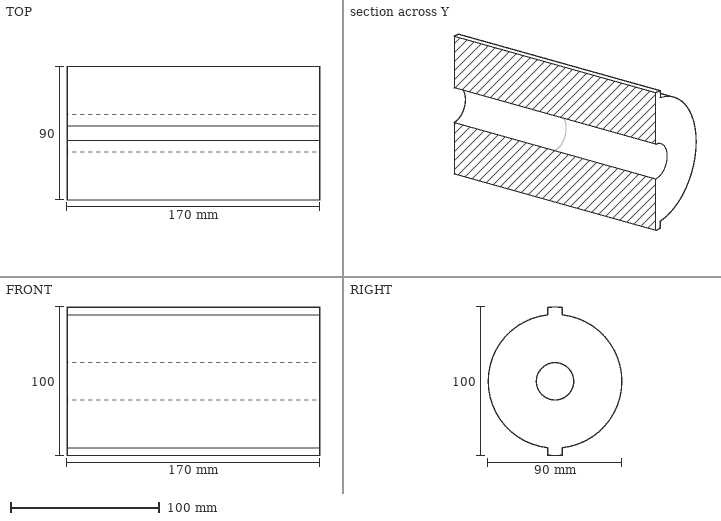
import cadquery as cq

length = 170.0
body_diameter = 90.0
bore_diameter = 25.0
key_width = 10.0
key_tip_diameter = 100.0


def cylinder_along_x(diameter):
    """Solid cylinder on the X axis, centred on the origin."""
    return cq.Workplane("YZ").circle(diameter / 2).extrude(length / 2, both=True)


def opposed_keys():
    """Full-length slab through the axis whose top and bottom follow the key tip circle."""
    slab = cq.Workplane("XY").box(length, key_width, key_tip_diameter)
    return slab.intersect(cylinder_along_x(key_tip_diameter))


body = cylinder_along_x(body_diameter).union(opposed_keys())
result = body.cut(cylinder_along_x(bore_diameter))